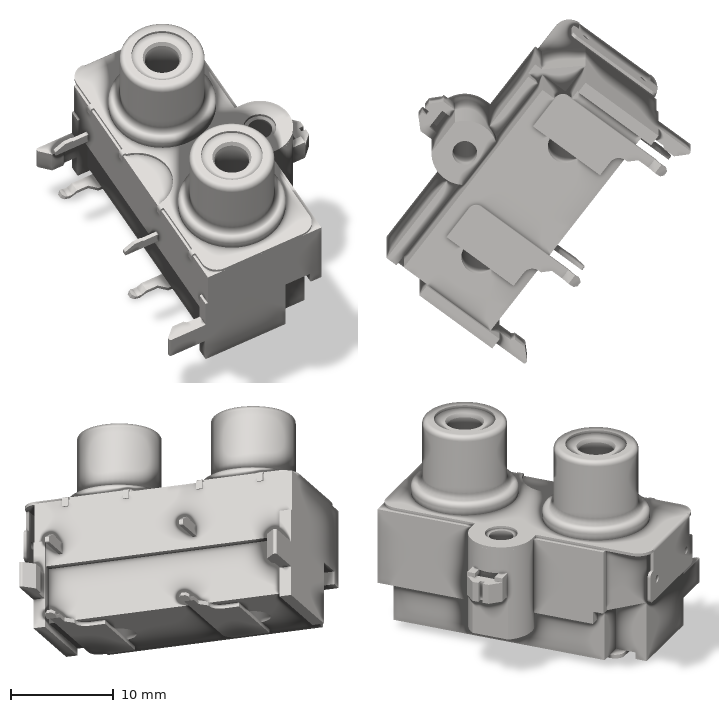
import cadquery as cq
import math


JACK_X = 7.0
JACK_CENTERS = [-JACK_X, JACK_X]

PLATE_T = 0.3
PLATE_LEFT = -15.04
PLATE_RIGHT = 13.46
PLATE_HALF_Y = 6.0
PLATE_CORNER_R = 1.65
LOBE_Y = 7.0
LOBE_R = 3.25
PLATE_HOLE_R = 1.6
CRESCENT_R = 3.5
CRESCENT_Y = -6.68
FLAP_NECK_HALF = PLATE_HALF_Y - PLATE_CORNER_R
FLAP_HALF = 5.1
FLAP_TOP = -2.35
FLAP_BOTTOM = -5.6
FLAP_CORNER_R = 0.5
FLAP_HOLE_Y = 3.5
FLAP_HOLE_Z = -3.58
FLAP_HOLE_D = 0.75
CLIP_OFFSETS = [-3.2, 3.15]
CLIP_CENTERS = [jack_x + offset for jack_x in JACK_CENTERS for offset in CLIP_OFFSETS]
CLIP_WIDTH = 0.6
CLIP_BOTTOM = -1.0
CLIP_FRONT = -6.4
BEND_R = 0.3

HALF_X = PLATE_RIGHT
TOP = -PLATE_T
FRONT = -6.25
REAR = 6.4
CORNER_CUT_X = -10.6
CORNER_CUT_REAR_Y = 5.55
SIDE_REAR_Y = 2.4
UPPER_BOTTOM = -6.93
REAR_WALL_BOTTOM = -8.25
BASE_FRONT = -5.4
BASE_REAR = 5.2
BASE_BOTTOM = -12.55
BASE_REAR_LEFT = -10.2
REAR_WALL_STEP_X = -9.5
HOUSING_BOTTOM = -13.26
WALL_T = 1.2
WALL_INNER_X = HALF_X - WALL_T
LEG_FRONT = -6.5
LEG_TOP = -4.4

BOSS_BOTTOM = -10.0
BOSS_HOLE_R = 1.2
BOSS_FLAT_Y = 9.64
CATCH_TOP = -2.8
CATCH_BOTTOM = -5.3
CATCH_HALF_X = 1.87
CATCH_ARM_INNER_X = 1.05
CATCH_ARM_REAR_Y = 11.0
CATCH_BAR_TOP = -3.25
CATCH_BAR_FRONT_Y = 10.55
CATCH_BAR_REAR_Y = 12.0
CATCH_TIP_HALF_X = 0.85
CATCH_SLOT_WIDTH = 0.45
CATCH_SLOT_DEPTH = 0.5

LUG_TOP = -7.75
LUG_BOTTOM = -10.3
LUG_TIP_Y = -10.5
LUG_TIP_R = 0.2
LUG_NECK_WIDTH = 1.15
LUG_NECK_Y = -7.95
LUG_HEAD_WIDTH = 1.4
LUG_HEAD_Y = -8.2
LUG_TAPER_Y = -9.45
LUG_TIP_WIDTH = 0.35

SLEEVE_TOP = 7.95
SLEEVE_R = 4.14
SLEEVE_RIM_R = 0.5
FLANGE_R = 5.25
FLANGE_TOP = 1.24
FLANGE_BLEND_R = (FLANGE_R - SLEEVE_R) / 2
INSULATOR_R = 3.0
INSULATOR_RECESS = 0.3
INSULATOR_TOP = SLEEVE_TOP - INSULATOR_RECESS
BORE_R = 1.7
BORE_MOUTH_R = 1.9
BORE_MOUTH_DEPTH = 0.38

PIN_T = 0.4
PIN_X = -3.7
PIN_SEAT_DEPTH = 2.0
PIN_ROOT_Y = FRONT + PIN_SEAT_DEPTH
PIN_SHOULDER_Y = -8.0
PIN_CREST_Y = -8.85
PIN_TIP_Y = -9.97
PIN_TOP = -4.77
PIN_CREST = -4.67
PIN_TIP_TOP = -5.3
PIN_BOTTOM = -5.85
PIN_TIP_R = 0.15

CONTACT_T = 0.4
CONTACT_LEFT = -4.27
CONTACT_TAIL_RIGHT = -3.23
CONTACT_RIGHT = 0.22
CONTACT_REAR = 3.77
CONTACT_REAR_R = 1.0
CONTACT_FRONT = -4.4
CONTACT_NECK_R = 1.05
CONTACT_FLARE_Y = -6.47
CONTACT_FLARE = 0.75
TAIL_BEND_Y = -7.7
TAIL_DIP_START_Y = -8.25
TAIL_DIP_END_Y = -8.7
TAIL_DIP_TOP = -12.87
TAIL_END_TOP = (-9.2, -12.6)
TAIL_END_BOTTOM = (-9.4, -12.97)
TAIL_LOW_Y = -8.5
TAIL_TIP_CHAMFER = 0.28


def block(x0, x1, y0, y1, z0, z1):
    return cq.Workplane("XY").box(x1 - x0, y1 - y0, z1 - z0, centered=False).translate((x0, y0, z0))


def prism(points, z0, z1):
    return cq.Workplane("XY").workplane(offset=z0).polyline(points).close().extrude(z1 - z0)


def cylinder(x, y, radius, z0, z1):
    return cq.Workplane("XY").workplane(offset=z0).center(x, y).circle(radius).extrude(z1 - z0)


def side_profile(points, x0, x1):
    """Extrude a closed outline of (y, z) points from x0 to x1."""
    return cq.Workplane("YZ").workplane(offset=x0).polyline(points).close().extrude(x1 - x0)


def clip_space(x):
    """Envelope of one clip that folds from the plate down over the housing front."""
    return block(x - CLIP_WIDTH / 2, x + CLIP_WIDTH / 2, CLIP_FRONT, CLIP_FRONT + PLATE_T, CLIP_BOTTOM, 0)


def make_clip(x):
    top = block(x - CLIP_WIDTH / 2, x + CLIP_WIDTH / 2, CLIP_FRONT, -PLATE_HALF_Y, TOP, 0)
    return top.union(clip_space(x)).edges("|X and >Z and <Y").fillet(BEND_R)


def make_side_flap():
    """Plate edge bent down on the left, with two small holes."""
    inner_x = PLATE_LEFT + PLATE_T
    neck = block(PLATE_LEFT, inner_x, -FLAP_NECK_HALF, FLAP_NECK_HALF, FLAP_TOP, 0)
    strip = block(
        PLATE_LEFT, PLATE_LEFT + PLATE_CORNER_R, -FLAP_NECK_HALF, FLAP_NECK_HALF, TOP, 0
    )
    neck = neck.union(strip)
    neck = neck.edges("|Y and >Z and <X").fillet(BEND_R)
    panel = block(PLATE_LEFT, inner_x, -FLAP_HALF, FLAP_HALF, FLAP_BOTTOM, FLAP_TOP)
    panel = panel.edges("|X").fillet(FLAP_CORNER_R)
    holes = (
        cq.Workplane("YZ").workplane(offset=PLATE_LEFT)
        .pushPoints([(-FLAP_HOLE_Y, FLAP_HOLE_Z), (FLAP_HOLE_Y, FLAP_HOLE_Z)])
        .circle(FLAP_HOLE_D / 2).extrude(PLATE_T)
    )
    return neck.union(panel).cut(holes)


def make_plate():
    sheet = block(PLATE_LEFT, PLATE_RIGHT, -PLATE_HALF_Y, PLATE_HALF_Y, TOP, 0)
    sheet = sheet.edges("|Z").fillet(PLATE_CORNER_R)
    bend_relief = block(
        PLATE_LEFT, PLATE_LEFT + PLATE_T, -FLAP_NECK_HALF, FLAP_NECK_HALF, TOP, 0
    )
    sheet = sheet.cut(bend_relief).union(make_side_flap())
    sheet = sheet.union(block(-LOBE_R, LOBE_R, 0, LOBE_Y, TOP, 0))
    sheet = sheet.union(cylinder(0, LOBE_Y, LOBE_R, TOP, 0))
    for x in CLIP_CENTERS:
        sheet = sheet.union(make_clip(x))
    sheet = sheet.cut(cylinder(0, LOBE_Y, PLATE_HOLE_R, TOP, 0))
    sheet = sheet.cut(cylinder(0, CRESCENT_Y, CRESCENT_R, TOP, 0))
    for x in JACK_CENTERS:
        sheet = sheet.cut(cylinder(x, 0, INSULATOR_R, TOP, 0))
    return sheet


def make_lug():
    """Left side lug: a hooked blade pointing forward from the leg."""
    outer = -HALF_X
    outline = [
        (outer, LEG_FRONT),
        (outer, LUG_TIP_Y),
        (outer + LUG_TIP_WIDTH, LUG_TIP_Y),
        (outer + LUG_HEAD_WIDTH, LUG_TAPER_Y),
        (outer + LUG_HEAD_WIDTH, LUG_HEAD_Y),
        (outer + LUG_NECK_WIDTH, LUG_NECK_Y),
        (outer + LUG_NECK_WIDTH, LEG_FRONT),
    ]
    return prism(outline, LUG_BOTTOM, LUG_TOP).edges("|Z and <Y").fillet(LUG_TIP_R)


def make_side_wall():
    """Left side wall with its raised front leg and lug."""
    wall = block(-HALF_X, -WALL_INNER_X, FRONT, SIDE_REAR_Y, HOUSING_BOTTOM, TOP)
    leg = block(-HALF_X, -WALL_INNER_X, LEG_FRONT, FRONT, HOUSING_BOTTOM, LEG_TOP)
    return wall.union(leg).union(make_lug())


def make_catch():
    """Slotted hook behind the boss, carried on two arms."""
    bar = prism(
        [
            (-CATCH_HALF_X, CATCH_BAR_FRONT_Y),
            (CATCH_HALF_X, CATCH_BAR_FRONT_Y),
            (CATCH_HALF_X, CATCH_ARM_REAR_Y),
            (CATCH_TIP_HALF_X, CATCH_BAR_REAR_Y),
            (-CATCH_TIP_HALF_X, CATCH_BAR_REAR_Y),
            (-CATCH_HALF_X, CATCH_ARM_REAR_Y),
        ],
        CATCH_BOTTOM,
        CATCH_BAR_TOP,
    )
    bar = bar.cut(block(
        -CATCH_SLOT_WIDTH / 2, CATCH_SLOT_WIDTH / 2,
        CATCH_BAR_REAR_Y - CATCH_SLOT_DEPTH, CATCH_BAR_REAR_Y,
        CATCH_BOTTOM, CATCH_BAR_TOP,
    ))
    for left in (-CATCH_HALF_X, CATCH_ARM_INNER_X):
        right = left + CATCH_HALF_X - CATCH_ARM_INNER_X
        bar = bar.union(block(left, right, BOSS_FLAT_Y, CATCH_ARM_REAR_Y, CATCH_BOTTOM, CATCH_TOP))
    return bar


def make_boss():
    boss = cylinder(0, LOBE_Y, LOBE_R, BOSS_BOTTOM, TOP)
    boss = boss.cut(block(-LOBE_R, LOBE_R, BOSS_FLAT_Y, LOBE_Y + LOBE_R, BOSS_BOTTOM, CATCH_TOP))
    return boss.union(make_catch())


def make_housing():
    upper = prism(
        [
            (-HALF_X, FRONT),
            (HALF_X, FRONT),
            (HALF_X, REAR),
            (CORNER_CUT_X, REAR),
            (CORNER_CUT_X, CORNER_CUT_REAR_Y),
            (-HALF_X, SIDE_REAR_Y),
        ],
        UPPER_BOTTOM,
        TOP,
    )
    rear_wall = block(REAR_WALL_STEP_X, HALF_X, BASE_REAR, REAR, REAR_WALL_BOTTOM, UPPER_BOTTOM)
    base = block(-WALL_INNER_X, WALL_INNER_X, BASE_FRONT, SIDE_REAR_Y, BASE_BOTTOM, UPPER_BOTTOM)
    base_rear = block(
        BASE_REAR_LEFT, WALL_INNER_X, SIDE_REAR_Y, BASE_REAR, BASE_BOTTOM, UPPER_BOTTOM
    )
    base = base.union(base_rear)
    left_wall = make_side_wall()
    body = upper.union(rear_wall).union(base).union(make_boss())
    body = body.union(left_wall).union(left_wall.mirror("YZ"))
    body = body.cut(cylinder(0, LOBE_Y, BOSS_HOLE_R, BOSS_BOTTOM, TOP))
    for x in JACK_CENTERS:
        body = body.cut(cylinder(x, 0, BORE_R, BASE_BOTTOM, TOP))
        body = body.cut(make_pin(x))
    for x in CLIP_CENTERS:
        body = body.cut(clip_space(x))
    return body


def make_sleeve(x):
    """Metal barrel with a rounded rim and a rounded flange joined by a cove."""
    diagonal = math.sqrt(0.5)
    rim_r = SLEEVE_R - SLEEVE_RIM_R
    rim_z = SLEEVE_TOP - SLEEVE_RIM_R
    blend_center_r = SLEEVE_R + FLANGE_BLEND_R
    cove_z = FLANGE_TOP + FLANGE_BLEND_R
    edge_z = FLANGE_TOP - FLANGE_BLEND_R
    blend_diagonal = FLANGE_BLEND_R * diagonal
    profile = (
        cq.Workplane("XZ")
        .moveTo(INSULATOR_R, 0)
        .lineTo(FLANGE_R, 0)
        .lineTo(FLANGE_R, edge_z)
        .threePointArc(
            (blend_center_r + blend_diagonal, edge_z + blend_diagonal),
            (blend_center_r, FLANGE_TOP),
        )
        .threePointArc(
            (blend_center_r - blend_diagonal, cove_z - blend_diagonal),
            (SLEEVE_R, cove_z),
        )
        .lineTo(SLEEVE_R, rim_z)
        .threePointArc(
            (rim_r + SLEEVE_RIM_R * diagonal, rim_z + SLEEVE_RIM_R * diagonal),
            (rim_r, SLEEVE_TOP),
        )
        .lineTo(INSULATOR_R, SLEEVE_TOP)
        .close()
    )
    return profile.revolve(360, (0, 0, 0), (0, 1, 0)).translate((x, 0, 0))


def make_insulator(x):
    """Tube inside the sleeve, standing on the housing, with a tapered mouth."""
    profile = cq.Workplane("XZ").polyline([
        (BORE_R, TOP),
        (INSULATOR_R, TOP),
        (INSULATOR_R, INSULATOR_TOP),
        (BORE_MOUTH_R, INSULATOR_TOP),
        (BORE_R, INSULATOR_TOP - BORE_MOUTH_DEPTH),
    ]).close()
    return profile.revolve(360, (0, 0, 0), (0, 1, 0)).translate((x, 0, 0))


def make_pin(x):
    left = x + PIN_X - PIN_T / 2
    blade = side_profile(
        [
            (PIN_ROOT_Y, PIN_BOTTOM),
            (PIN_TIP_Y, PIN_BOTTOM),
            (PIN_TIP_Y, PIN_TIP_TOP),
            (PIN_CREST_Y, PIN_CREST),
            (PIN_SHOULDER_Y, PIN_CREST),
            (PIN_SHOULDER_Y, PIN_TOP),
            (PIN_ROOT_Y, PIN_TOP),
        ],
        left,
        left + PIN_T,
    )
    return blade.edges("|X and <Y").fillet(PIN_TIP_R)


def make_contact(x):
    """Flat plate under the base with a flared neck and a dipped spring tail."""
    bottom = BASE_BOTTOM - CONTACT_T
    flare_x = CONTACT_TAIL_RIGHT + CONTACT_FLARE
    flare_y = CONTACT_FLARE_Y + CONTACT_FLARE
    arc_center = (flare_x + CONTACT_NECK_R, CONTACT_FRONT - CONTACT_NECK_R)
    arc_step = CONTACT_NECK_R * math.sqrt(0.5)
    arc_mid = (arc_center[0] - arc_step, arc_center[1] + arc_step)
    plate = (
        cq.Workplane("XY").workplane(offset=bottom)
        .moveTo(CONTACT_LEFT, CONTACT_FLARE_Y)
        .lineTo(CONTACT_TAIL_RIGHT, CONTACT_FLARE_Y)
        .lineTo(flare_x, flare_y)
        .lineTo(flare_x, arc_center[1])
        .threePointArc(arc_mid, (arc_center[0], CONTACT_FRONT))
        .lineTo(CONTACT_RIGHT, CONTACT_FRONT)
        .lineTo(CONTACT_RIGHT, CONTACT_REAR)
        .lineTo(CONTACT_LEFT, CONTACT_REAR)
        .close()
        .extrude(CONTACT_T)
        .edges("|Z and >Y and <X").fillet(CONTACT_REAR_R)
    )
    tail = side_profile(
        [
            (CONTACT_FLARE_Y, BASE_BOTTOM),
            (TAIL_BEND_Y, BASE_BOTTOM),
            (TAIL_DIP_START_Y, TAIL_DIP_TOP),
            (TAIL_DIP_END_Y, TAIL_DIP_TOP),
            TAIL_END_TOP,
            TAIL_END_BOTTOM,
            (TAIL_LOW_Y, HOUSING_BOTTOM),
            (TAIL_BEND_Y, bottom),
            (CONTACT_FLARE_Y, bottom),
        ],
        CONTACT_LEFT,
        CONTACT_TAIL_RIGHT,
    )
    tail = tail.faces("<Y").edges("<X or >X").chamfer(TAIL_TIP_CHAMFER)
    return plate.union(tail).translate((x, 0, 0))


housing = make_housing()
plate = make_plate()

bodies = [housing.val(), plate.val()]
for jack_x in JACK_CENTERS:
    bodies.append(make_sleeve(jack_x).val())
    bodies.append(make_insulator(jack_x).val())
    bodies.append(make_pin(jack_x).val())
    bodies.append(make_contact(jack_x).val())

result = cq.Compound.makeCompound(bodies)